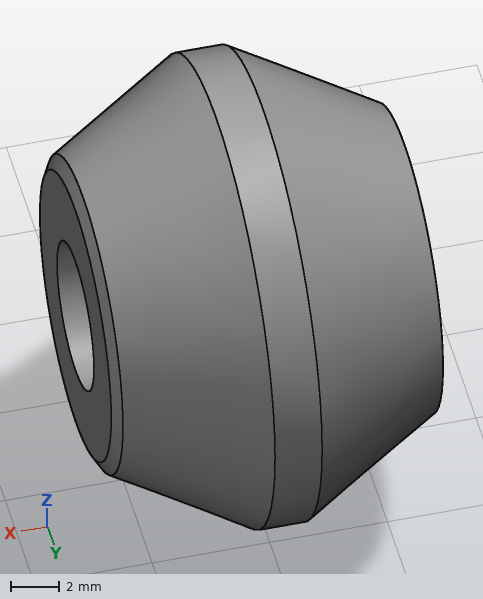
import cadquery as cq
import math

rim_diameter = 20.0
bore_diameter = 6.32
rim_width = 2.0
cone_length = 6.0
cone_angle = 30.0
chamfer_size = 0.4

rim_radius = rim_diameter / 2
end_radius = rim_radius - cone_length * math.tan(math.radians(cone_angle))
total_length = 2 * cone_length + rim_width


def make_body():
    """Solid of revolution with the plain end face at -X, centred on the origin."""
    half_profile = (
        cq.Workplane("XY")
        .moveTo(-total_length / 2, 0)
        .lineTo(-total_length / 2, end_radius)
        .lineTo(-rim_width / 2, rim_radius)
        .lineTo(rim_width / 2, rim_radius)
        .lineTo(total_length / 2, end_radius)
        .lineTo(total_length / 2, 0)
        .close()
    )
    return half_profile.revolve(360, (0, 0, 0), (1, 0, 0))


body = make_body().faces(">X").edges().chamfer(chamfer_size)
result = body.faces("<X").workplane(origin=(0, 0, 0)).hole(bore_diameter)